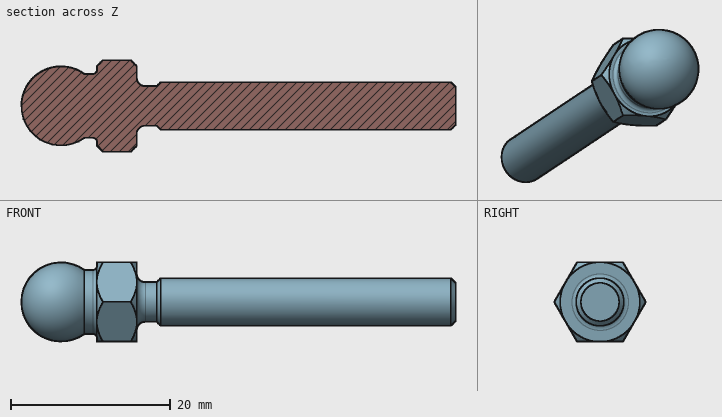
import cadquery as cq
import math

total_length = 54.5
ball_diameter = 10.0
neck_radius = 4.05
neck_fillet = 0.5
hex_start = 9.5
hex_width = 5.0
hex_across_flats = 10.0
hex_chamfer = 0.75
undercut_radius = 2.5
undercut_fillet = 1.05
undercut_end = 17.0
shank_radius = 3.0
tip_chamfer = 0.6

ball_radius = ball_diameter / 2
hex_end = hex_start + hex_width
hex_across_corners = hex_across_flats / math.cos(math.pi / 6)
hex_corner_radius = hex_across_corners / 2
hex_face_radius = hex_corner_radius - hex_chamfer
shank_start = undercut_end + shank_radius - undercut_radius
ball_end = ball_radius + math.sqrt(ball_radius**2 - neck_radius**2)


def revolve_about_x(profile):
    return profile.close().revolve(360, (0, 0, 0), (1, 0, 0))


def make_turned_body():
    """Ball, necks and shank as one revolved profile running through the hexagon."""
    profile = (
        cq.Workplane("XY")
        .moveTo(0, 0)
        .threePointArc((ball_radius, ball_radius), (ball_end, neck_radius))
        .lineTo(hex_start - neck_fillet, neck_radius)
        .radiusArc((hex_start, neck_radius + neck_fillet), -neck_fillet)
        .lineTo(hex_end, undercut_radius + undercut_fillet)
        .radiusArc((hex_end + undercut_fillet, undercut_radius), -undercut_fillet)
        .lineTo(undercut_end, undercut_radius)
        .lineTo(shank_start, shank_radius)
        .lineTo(total_length - tip_chamfer, shank_radius)
        .lineTo(total_length, shank_radius - tip_chamfer)
        .lineTo(total_length, 0)
    )
    return revolve_about_x(profile)


def make_hexagon():
    """Hexagon with corners along Y, trimmed by a 45 degree cone at each end."""
    prism = cq.Workplane("YZ", origin=(hex_start, 0, 0)).polygon(6, hex_across_corners).extrude(hex_width)
    envelope = (
        cq.Workplane("XY")
        .moveTo(hex_start, 0)
        .lineTo(hex_start, hex_face_radius)
        .lineTo(hex_start + hex_chamfer, hex_corner_radius)
        .lineTo(hex_end - hex_chamfer, hex_corner_radius)
        .lineTo(hex_end, hex_face_radius)
        .lineTo(hex_end, 0)
    )
    return prism.intersect(revolve_about_x(envelope))


result = make_turned_body().union(make_hexagon())